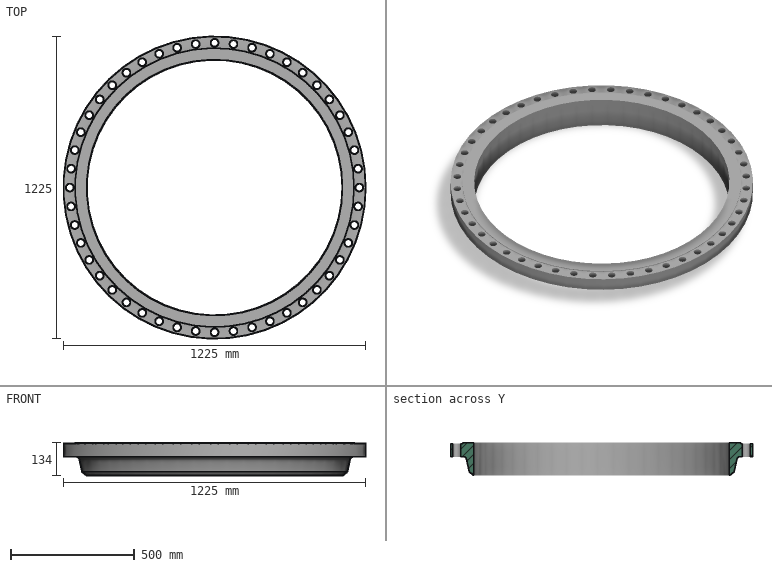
import cadquery as cq

flange_diameter = 1225.0
total_height = 134.0
bore_diameter = 1034.0

raised_face_diameter = 1130.0
raised_face_height = 3.1
flange_thickness = 55.0

weld_land = 2.0
bevel_height = 15.0
hub_tip_diameter = 1076.0
hub_root_diameter = 1103.0
root_fillet = 10.0

bolt_count = 48
bolt_circle_diameter = 1173.0
bolt_hole_diameter = 31.0

flange_top = total_height - raised_face_height
flange_bottom = flange_top - flange_thickness


def ring_body():
    """Revolve the half section, drawn as radius against height, about Z."""
    bore_radius = bore_diameter / 2
    flange_radius = flange_diameter / 2
    raised_face_radius = raised_face_diameter / 2
    section = (
        cq.Workplane("XZ")
        .moveTo(bore_radius, 0)
        .lineTo(bore_radius + weld_land, 0)
        .lineTo(hub_tip_diameter / 2, bevel_height)
        .lineTo(hub_root_diameter / 2, flange_bottom)
        .lineTo(flange_radius, flange_bottom)
        .lineTo(flange_radius, flange_top)
        .lineTo(raised_face_radius, flange_top)
        .lineTo(raised_face_radius, total_height)
        .lineTo(bore_radius, total_height)
        .close()
    )
    return section.revolve(360, (0, 0, 0), (0, 1, 0))


def fillet_hub_root(body):
    """Round the inner corner where the hub meets the back of the flange."""
    margin = root_fillet / 2
    reach = hub_root_diameter / 2 + margin
    root_edge = cq.selectors.BoxSelector(
        (-reach, -reach, flange_bottom - margin),
        (reach, reach, flange_bottom + margin),
        boundingbox=True,
    )
    return body.edges(root_edge).fillet(root_fillet)


def bolt_holes():
    """Cutters for the bolt holes, the first one on the +X axis."""
    return (
        cq.Workplane("XY")
        .workplane(offset=flange_bottom - root_fillet)
        .polarArray(bolt_circle_diameter / 2, 0, 360, bolt_count)
        .circle(bolt_hole_diameter / 2)
        .extrude(flange_thickness + 2 * root_fillet)
    )


result = fillet_hub_root(ring_body()).cut(bolt_holes())